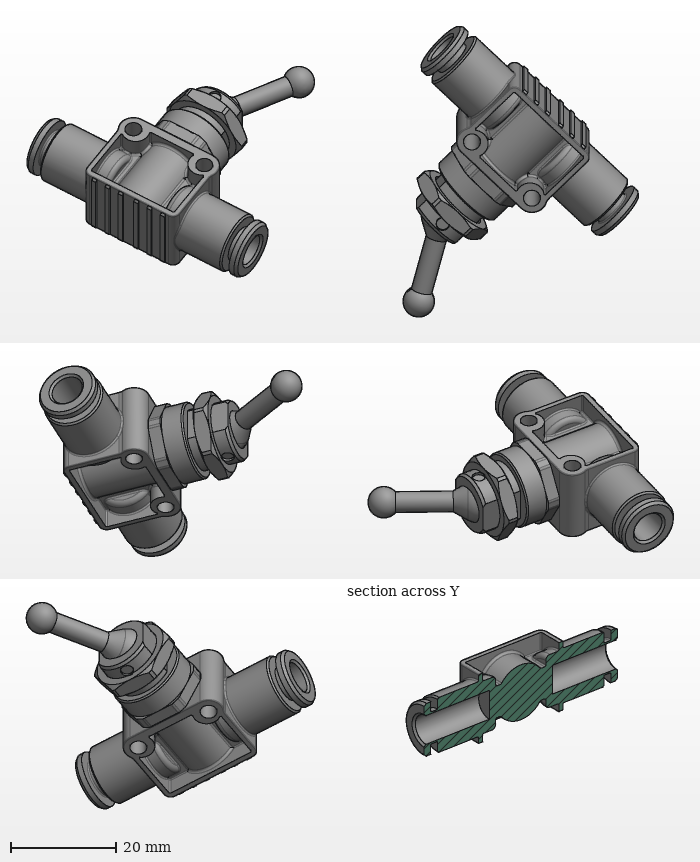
import cadquery as cq
import math


height = 15.0
half_height = height / 2
body_half_width = 10.4
body_bottom = -6.4
body_top = 10.4
body_corner_radius = 1.5
rim_rounding = 0.15

ear_x = 8.0
ear_y = 7.5
ear_radius = body_top - ear_y
ear_hole_diameter = 3.2
ear_blend_radius = 2.0

wall = 1.05
pocket_half_width = body_half_width - wall
pocket_bottom = -5.25
pocket_top = 8.65
pocket_floor_z = 3.5
pocket_boss_x = 7.5
pocket_boss_radius = 2.7
pocket_corner_radius = 0.3
pocket_boss_wall_radius = 0.2
pocket_boss_root_radius = 0.4
stem_tube_root_radius = 0.5
stem_tube_root_top = 5.3
stem_tube_diameter = 12.0
port_housing_diameter = 11.5
port_housing_inner_x = 6.1
port_housing_rounding = 1.0
port_housing_root_radius = 0.3

rib_offsets = (1.76, 4.72, 7.75)
rib_width = 0.95
rib_height = 0.42
rib_end_chamfer = 0.4

port_diameter = 12.0
port_end_x = 20.5
port_chamfer = 0.35
port_root_fillet = 0.3
collar_neck_diameter = 7.1
collar_neck_fillet = 0.25
collar_diameter = 11.5
collar_start_x = 22.1
collar_end_x = 47.6 / 2
collar_chamfer_length = 0.6
collar_chamfer_depth = 0.45
tube_hole_diameter = 6.15
tube_hole_depth = 16.0
tube_hole_chamfer = 0.45

hexagon_sides = 6
across_flats = 15.0
base_corner_distance = 8.15
base_corner_rounding = 1.0
base_top = 12.9
flange_diameter = 15.0
flange_top = 17.2
flange_chamfer = 0.3

stem_diameter = 12.0
stem_across_flats = 10.0
stem_top = 25.5
stem_chamfer_length = 0.6
stem_chamfer_depth = 0.35
nut_bottom = 19.36
nut_thickness = 3.0
nut_corner_distance = 8.45
nut_chamfer_angle = 30.0

pivot_y = 23.44
lever_tilt = 30.0
lever_length = 18.0
lever_ball_diameter = 6.0
lever_rod_diameter = 4.0
lever_hub_radius = 4.15
lever_cone_angle = 30.0
pin_hole_diameter = 2.5
pin_hole_depth = 0.6


def box(x_min, x_max, y_min, y_max, z_min, z_max):
    size = (x_max - x_min, y_max - y_min, z_max - z_min)
    return cq.Workplane("XY").box(*size, centered=False).translate((x_min, y_min, z_min))


def cylinder_x(diameter, x_min, x_max):
    return cq.Workplane("YZ").workplane(offset=x_min).circle(diameter / 2).extrude(x_max - x_min)


def cylinder_y(diameter, y_min, y_max):
    disc = cq.Workplane("XZ").workplane(offset=-y_min).circle(diameter / 2)
    return disc.extrude(-(y_max - y_min))


def cylinder_z(diameter, x, y, z_min, z_max):
    return cq.Workplane("XY", origin=(x, y, z_min)).circle(diameter / 2).extrude(z_max - z_min)


def revolve_y(points):
    """Solid of revolution about Y from (radius, y) points."""
    return cq.Workplane("XY").polyline(points).close().revolve(360, (0, 0, 0), (0, 1, 0))


def revolve_x(points):
    """Solid of revolution about X from (x, radius) points."""
    return cq.Workplane("XY").polyline(points).close().revolve(360, (0, 0, 0), (1, 0, 0))


def fillet_nearest(solid, points, radius):
    """Round the edges whose middles lie nearest to the given points."""
    edges = []
    for point in points:
        selector = cq.selectors.NearestToPointSelector(point)
        edges.append(solid.edges(selector).val())
    return solid.newObject(edges).fillet(radius)


def both_sides(x, y, z):
    """A point and its mirror image across X = 0."""
    return [(x, y, z), (-x, y, z)]


def make_body():
    blend_x = body_half_width + ear_blend_radius
    blend_y = ear_y - math.sqrt((ear_radius + ear_blend_radius) ** 2 - (blend_x - ear_x) ** 2)
    share = ear_radius / (ear_radius + ear_blend_radius)
    tangent_x = ear_x + share * (blend_x - ear_x)
    tangent_y = ear_y + share * (blend_y - ear_y)
    ear_out_x = ear_x + ear_radius
    blend_angle = math.atan2(ear_y - blend_y, ear_x - blend_x)
    mid_angle = (blend_angle + math.pi) / 2
    blend_mid = (
        blend_x + ear_blend_radius * math.cos(mid_angle),
        blend_y + ear_blend_radius * math.sin(mid_angle),
    )
    half_outline = (
        cq.Workplane("XY", origin=(0, 0, -half_height))
        .moveTo(0, body_bottom)
        .lineTo(body_half_width, body_bottom)
        .lineTo(body_half_width, blend_y)
        .threePointArc(blend_mid, (tangent_x, tangent_y))
        .threePointArc((ear_out_x, ear_y), (ear_x, body_top))
        .lineTo(0, body_top)
        .close()
    )
    half = half_outline.extrude(height)
    half = fillet_nearest(half, [(body_half_width, body_bottom, 0)], body_corner_radius)
    body = half.union(half.mirror("YZ")).clean()
    return body.faces("|Z").edges().fillet(rim_rounding)


def pocket_blank():
    """Pocket with the ear bosses and the bare stem tube standing in it."""
    pocket = box(
        -pocket_half_width, pocket_half_width, pocket_bottom, pocket_top, pocket_floor_z, half_height
    )
    for side in (-1, 1):
        ear_boss = cylinder_z(
            2 * pocket_boss_radius, side * pocket_boss_x, ear_y, pocket_floor_z, half_height
        )
        pocket = pocket.cut(ear_boss)
    corner_z = (pocket_floor_z + half_height) / 2
    lower_corners = both_sides(pocket_half_width, pocket_bottom, corner_z)
    pocket = fillet_nearest(pocket, lower_corners, pocket_corner_radius)
    return pocket.cut(cylinder_y(stem_tube_diameter, body_bottom, body_top))


def round_ear_bosses(pocket):
    """Round the roots of the ear bosses and the corners where they meet the walls."""
    tube_radius = stem_tube_diameter / 2
    tube_edge_x = math.sqrt(tube_radius**2 - pocket_floor_z**2)
    boss_edge_x = pocket_boss_x - pocket_boss_radius
    boss_edge_z = (pocket_floor_z + math.sqrt(tube_radius**2 - boss_edge_x**2)) / 2
    roots = both_sides((tube_edge_x + boss_edge_x) / 2, ear_y, boss_edge_z)
    roots += both_sides(pocket_boss_x, ear_y - pocket_boss_radius, pocket_floor_z)
    pocket = fillet_nearest(pocket, roots, pocket_boss_root_radius)

    corner_z = (pocket_floor_z + half_height) / 2
    wall_y = ear_y - math.sqrt(pocket_boss_radius**2 - (pocket_half_width - pocket_boss_x) ** 2)
    top_x = pocket_boss_x - math.sqrt(pocket_boss_radius**2 - (pocket_top - ear_y) ** 2)
    top_corners = both_sides(top_x, pocket_top, corner_z)
    wall_corners = both_sides(pocket_half_width, wall_y, corner_z)
    pocket = fillet_nearest(pocket, top_corners, pocket_corner_radius)
    return fillet_nearest(pocket, wall_corners, pocket_boss_wall_radius)


def stem_tube_end_root(wall_y, inward):
    """Concave flare of the stem tube against an end wall; inward is the +-1 Y direction."""
    tube_radius = stem_tube_diameter / 2
    root = stem_tube_root_radius
    sag = root * (1 - math.sqrt(0.5))
    profile = (
        cq.Workplane("XY")
        .moveTo(0, wall_y - inward * root)
        .lineTo(tube_radius + root, wall_y - inward * root)
        .lineTo(tube_radius + root, wall_y)
        .threePointArc((tube_radius + sag, wall_y + inward * sag), (tube_radius, wall_y + inward * root))
        .lineTo(0, wall_y + inward * root)
        .close()
    )
    return profile.revolve(360, (0, 0, 0), (0, 1, 0))


def stem_tube_floor_root():
    """Concave strip between the stem tube and the pocket floor on the +X side."""
    tube_radius = stem_tube_diameter / 2
    centre_z = pocket_floor_z + stem_tube_root_radius
    centre_distance = tube_radius + stem_tube_root_radius
    centre_x = math.sqrt(centre_distance**2 - centre_z**2)
    share = tube_radius / centre_distance
    profile = (
        cq.Workplane("XZ", origin=(0, pocket_bottom, 0))
        .moveTo(0, 0)
        .lineTo(centre_x, 0)
        .lineTo(centre_x, pocket_floor_z)
        .radiusArc((centre_x * share, centre_z * share), stem_tube_root_radius)
        .close()
    )
    return profile.extrude(-(stem_tube_root_top - pocket_bottom))


def make_pocket():
    """Solid that hollows the +Z face; it leaves the stem tube and port housings standing."""
    pocket = round_ear_bosses(pocket_blank())
    pocket = pocket.cut(stem_tube_end_root(pocket_bottom, 1))
    pocket = pocket.cut(stem_tube_end_root(pocket_top, -1))
    floor_root = stem_tube_floor_root()
    housing = cylinder_x(port_housing_diameter, port_housing_inner_x, body_half_width)
    housing = housing.faces("<X").edges().fillet(port_housing_rounding)
    for standing in (floor_root, housing):
        pocket = pocket.cut(standing).cut(standing.mirror("YZ"))
    housing_roots = both_sides(port_housing_inner_x, 0, pocket_floor_z)
    return fillet_nearest(pocket, housing_roots, port_housing_root_radius)


def make_rib(x):
    rib = box(
        x - rib_width / 2,
        x + rib_width / 2,
        body_bottom - rib_height,
        body_bottom + rim_rounding,
        -half_height + rim_rounding,
        half_height - rim_rounding,
    )
    return rib.faces("<Y").edges("|X").chamfer(rib_end_chamfer)


def make_port():
    """Port cylinder with its push-in collar on the +X side."""
    port_radius = port_diameter / 2
    neck_radius = collar_neck_diameter / 2
    collar_radius = collar_diameter / 2
    port = revolve_x([
        (0, 0),
        (0, port_radius),
        (port_end_x - port_chamfer, port_radius),
        (port_end_x, port_radius - port_chamfer),
        (port_end_x, 0),
    ])
    collar = revolve_x([
        (port_end_x - port_chamfer, 0),
        (port_end_x - port_chamfer, neck_radius),
        (collar_start_x, neck_radius),
        (collar_start_x, collar_radius),
        (collar_end_x - collar_chamfer_length, collar_radius),
        (collar_end_x, collar_radius - collar_chamfer_depth),
        (collar_end_x, 0),
    ])
    neck_edges = collar.edges("%CIRCLE").edges(cq.selectors.RadiusNthSelector(0))
    return port.union(neck_edges.edges(">X").fillet(collar_neck_fillet))


def round_port_roots(body):
    """Fillet the seams where the ports leave the side walls and the lower body corners."""
    port_radius = port_diameter / 2
    seam = body.edges("not %LINE").edges(
        cq.selectors.BoxSelector(
            (-body_half_width - rim_rounding, -port_radius, -port_radius),
            (body_half_width + rim_rounding, port_radius, port_radius),
        )
    )
    return seam.fillet(port_root_fillet)


def make_tube_hole():
    radius = tube_hole_diameter / 2
    return revolve_x([
        (collar_end_x - tube_hole_depth, 0),
        (collar_end_x - tube_hole_depth, radius),
        (collar_end_x - tube_hole_chamfer, radius),
        (collar_end_x, radius + tube_hole_chamfer),
        (collar_end_x, 0),
    ])


def hexagon_y(y_min, y_max, corner_distance):
    """Hexagonal prism along Y, flats facing +-Z, with its corners cut flat."""
    half_sector = 180.0 / hexagon_sides

    def prism(distance_across):
        corner_diameter = distance_across / math.cos(math.radians(half_sector))
        outline = cq.Workplane("XZ", origin=(0, y_min, 0)).polygon(hexagon_sides, corner_diameter)
        return outline.extrude(-(y_max - y_min))

    corner_cutter = prism(2 * corner_distance).rotate((0, 0, 0), (0, 1, 0), half_sector)
    return prism(across_flats).intersect(corner_cutter)


def make_base():
    """Hexagonal base with rounded corners, topped by the round flange."""
    hexagon = hexagon_y(body_top, base_top, base_corner_distance)
    hexagon = hexagon.edges("|Y").fillet(base_corner_rounding)
    flange = cylinder_y(flange_diameter, base_top, flange_top)
    return hexagon.union(flange.faces(">Y").edges().chamfer(flange_chamfer))


def make_stem():
    """Round stem with two flats and a cross hole at the lever pivot."""
    radius = stem_diameter / 2
    stem = revolve_y([
        (0, flange_top - flange_chamfer),
        (radius, flange_top - flange_chamfer),
        (radius, stem_top - stem_chamfer_length),
        (radius - stem_chamfer_depth, stem_top),
        (0, stem_top),
    ])
    half_flats = stem_across_flats / 2
    stem = stem.intersect(box(-half_flats, half_flats, base_top, stem_top, -radius, radius))
    pin_hole = cylinder_z(pin_hole_diameter, 0, pivot_y, radius - pin_hole_depth, half_height)
    return stem.cut(pin_hole).cut(pin_hole.mirror("XY"))


def make_nut():
    """Hexagonal nut, chamfered conically on both faces."""
    nut_top = nut_bottom + nut_thickness
    middle = (nut_bottom + nut_top) / 2
    flat_radius = across_flats / 2
    rise = math.tan(math.radians(nut_chamfer_angle))
    outer_radius = flat_radius + nut_thickness / 2 / rise
    double_cone = revolve_y([
        (0, nut_bottom),
        (flat_radius, nut_bottom),
        (outer_radius, middle),
        (flat_radius, nut_top),
        (0, nut_top),
    ])
    nut = hexagon_y(nut_bottom, nut_top, nut_corner_distance).intersect(double_cone)
    return nut.cut(cylinder_y(stem_diameter, nut_bottom, nut_top))


def make_lever():
    """Ball-ended lever: spherical hub, tangent cone, rod and ball, tilted about the pivot."""
    cone_angle = math.radians(lever_cone_angle)
    rod_radius = lever_rod_diameter / 2
    tangent_y = lever_hub_radius * math.sin(cone_angle)
    tangent_radius = lever_hub_radius * math.cos(cone_angle)
    cone_end_y = tangent_y + (tangent_radius - rod_radius) / math.tan(cone_angle)
    hub = cq.Workplane("XY").sphere(lever_hub_radius)
    shaft = revolve_y([
        (0, 0),
        (tangent_radius, tangent_y),
        (rod_radius, cone_end_y),
        (rod_radius, lever_length),
        (0, lever_length),
    ])
    ball = cq.Workplane("XY").sphere(lever_ball_diameter / 2).translate((0, lever_length, 0))
    lever = hub.union(shaft).union(ball)
    return lever.rotate((0, 0, 0), (0, 0, 1), -lever_tilt).translate((0, pivot_y, 0))


def make_shell():
    """Body with ports, pockets, through holes and grip ribs."""
    port = make_port()
    shell = round_port_roots(make_body().union(port).union(port.mirror("YZ")))
    pocket = make_pocket()
    shell = shell.cut(pocket).cut(pocket.mirror("XY"))
    tube_hole = make_tube_hole()
    shell = shell.cut(tube_hole).cut(tube_hole.mirror("YZ"))
    for side in (-1, 1):
        ear_hole = cylinder_z(ear_hole_diameter, side * ear_x, ear_y, -half_height, half_height)
        shell = shell.cut(ear_hole)
        for offset in rib_offsets:
            shell = shell.union(make_rib(side * offset))
    return shell


result = make_shell()
for component in (make_base(), make_stem(), make_nut(), make_lever()):
    result = result.union(component)